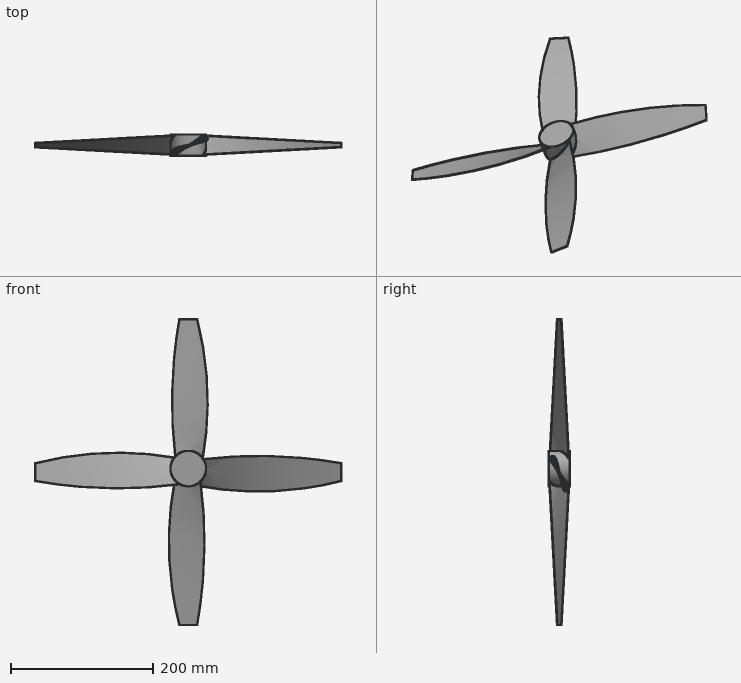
import cadquery as cq
import math

hub_diameter = 50.0
hub_length = 30.0
centre_disc_diameter = 15.0
hub_height = 5.0

blade_count = 4
tip_radius = 215.0
root_radius = 10.0
blade_thickness = 1.0
section_count = 6

widest_radius = 99.0
leading_reach = 27.3
trailing_reach = 22.8
tip_reach = 12.5

root_half_rise = 14.0
tip_half_rise = 2.8


def edge_reach(widest_reach, radius):
    """Parabolic blade edge, farthest out at the widest radius."""
    fraction = (radius - widest_radius) / (tip_radius - widest_radius)
    return widest_reach - (widest_reach - tip_reach) * fraction**2


def half_rise(radius):
    """Half of the section mid-line's extent along Y."""
    fraction = (radius - root_radius) / (tip_radius - root_radius)
    return root_half_rise + (tip_half_rise - root_half_rise) * fraction


def blade_section(radius):
    """Tilted rectangle across the blade, in the plane Z = radius."""
    leading = edge_reach(leading_reach, radius)
    trailing = edge_reach(trailing_reach, radius)
    rise = half_rise(radius)
    pitch = math.atan2(2 * rise, leading + trailing)
    offset_x = -math.sin(pitch) * blade_thickness / 2
    offset_y = math.cos(pitch) * blade_thickness / 2
    corners = [
        cq.Vector(leading + offset_x, rise + offset_y, radius),
        cq.Vector(-trailing + offset_x, -rise + offset_y, radius),
        cq.Vector(-trailing - offset_x, -rise - offset_y, radius),
        cq.Vector(leading - offset_x, rise - offset_y, radius),
    ]
    return cq.Wire.makePolygon(corners, close=True)


def hub_cylinder(diameter):
    """Cylinder of the hub's length, on the hub axis."""
    front_plane = cq.Workplane("XZ", origin=(0, -hub_length / 2, hub_height))
    return front_plane.circle(diameter / 2).extrude(-hub_length)


def make_hub():
    """Ring and core joined as one solid; the seam between them stays as a circle on the end faces."""
    core = hub_cylinder(centre_disc_diameter)
    ring = hub_cylinder(hub_diameter).cut(core)
    return ring.union(core, clean=False).solids()


def make_blade(angle):
    """Blade turned about Y, its root shaped to the hub's surface."""
    step = (tip_radius - root_radius) / (section_count - 1)
    sections = [blade_section(root_radius + i * step) for i in range(section_count)]
    plate = cq.Workplane(obj=cq.Solid.makeLoft(sections))
    turned_plate = plate.rotate((0, 0, 0), (0, 1, 0), angle)
    return turned_plate.cut(hub_cylinder(hub_diameter)).solids()


hub = make_hub()
blades = [make_blade(i * 360 / blade_count) for i in range(blade_count)]

result = cq.Compound.makeCompound([hub.val(), *[blade.val() for blade in blades]])